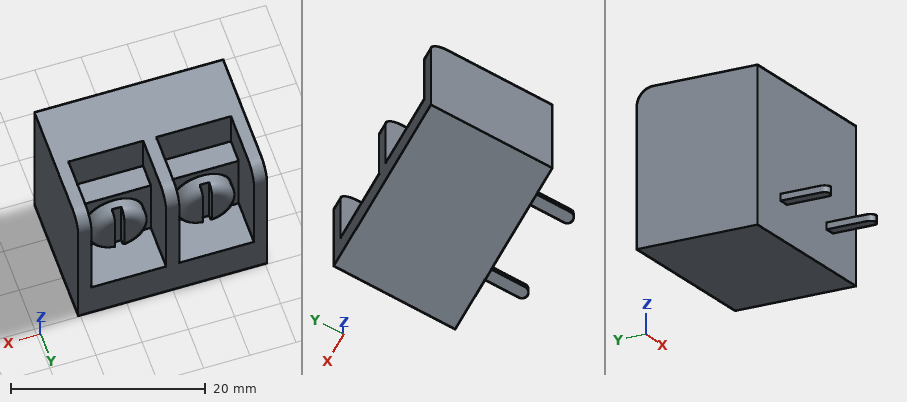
import cadquery as cq

housing_length = 20.45
housing_depth = 14.32
housing_height = 17.6
corner_radius = 1.98

terminal_count = 2
wall_thickness = 1.43
bay_width = (housing_length - (terminal_count + 1) * wall_thickness) / terminal_count
terminal_pitch = bay_width + wall_thickness
terminal_positions = [
    (index - (terminal_count - 1) / 2) * terminal_pitch for index in range(terminal_count)
]

head_radius = 3.2
head_height = 2.0
head_rounding = head_height / 2
slot_width = 1.0
slot_depth = head_height / 2
screw_height = housing_height / 2

open_face = housing_depth / 2
pin_face = -housing_depth / 2
deep_recess_depth = 4.97
bay_depth = 7.48
seat_face = open_face - deep_recess_depth
seat_top = screw_height + bay_width / 2
bay_floor = screw_height - bay_width / 2

pin_width = 1.35
pin_thickness = 0.75
pin_length = 5.48
pin_height = 4.6


def make_bay(x_position):
    """Stepped recess of one terminal, open at the top and at the +Y face."""
    rear_face = open_face - bay_depth
    side_profile = [
        (open_face, bay_floor),
        (seat_face, bay_floor),
        (seat_face, seat_top),
        (rear_face, seat_top),
        (rear_face, housing_height),
        (open_face, housing_height),
    ]
    return (
        cq.Workplane("YZ", origin=(x_position, 0, 0))
        .polyline(side_profile)
        .close()
        .extrude(bay_width / 2, both=True)
    )


def make_housing():
    """Block with a rounded upper +Y edge and one stepped bay per terminal."""
    block = (
        cq.Workplane("XY")
        .box(housing_length, housing_depth, housing_height, centered=(True, True, False))
        .edges(">Y and >Z")
        .fillet(corner_radius)
    )
    for x_position in terminal_positions:
        block = block.cut(make_bay(x_position))
    return block


def make_screw(x_position):
    """Round screw head on the seat, with a driver slot running along Z."""
    head = (
        cq.Workplane("XZ", origin=(x_position, seat_face, screw_height))
        .circle(head_radius)
        .extrude(-head_height)
        .faces(">Y")
        .edges()
        .fillet(head_rounding)
    )
    slot_floor = seat_face + head_height - slot_depth
    slot = (
        cq.Workplane("XY")
        .box(slot_width, slot_depth, 2 * head_radius, centered=(True, False, True))
        .translate((x_position, slot_floor, screw_height))
    )
    return head.cut(slot)


def make_pin(x_position):
    """Flat pin standing on the -Y face, its tip rounded by two quarter arcs."""
    half_width = pin_width / 2
    tip = pin_face - pin_length
    arc_start = tip + half_width
    return (
        cq.Workplane("XY", origin=(x_position, 0, pin_height))
        .moveTo(half_width, pin_face)
        .lineTo(half_width, arc_start)
        .radiusArc((0, tip), half_width)
        .radiusArc((-half_width, arc_start), half_width)
        .lineTo(-half_width, pin_face)
        .close()
        .extrude(pin_thickness / 2, both=True)
    )


housing = make_housing()
screws = [make_screw(x_position).val() for x_position in terminal_positions]
pins = [make_pin(x_position).val() for x_position in terminal_positions]

result = cq.Compound.makeCompound([housing.val(), *screws, *pins])